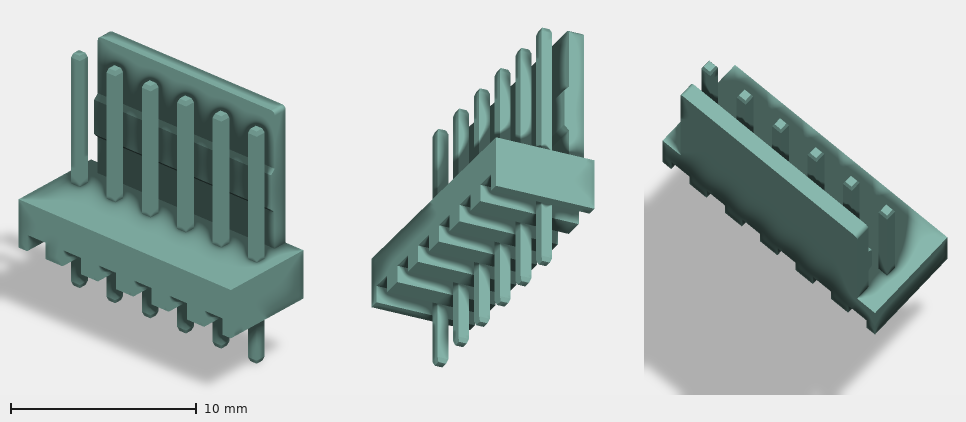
import cadquery as cq


pin_count = 6
base_length = 15.24
base_depth = 5.9
base_height = 2.97
pitch = base_length / pin_count
slot_width = 1.31
slot_depth = 1.0

overall_height = 14.7
wall_length = (pin_count - 1) * pitch
wall_thickness = 0.9
wall_corner_radius = 0.25
rib_projection = 0.29
rib_bottom = 5.2
rib_top = 7.9
rib_bevel = 0.29

pin_width = 0.64
pin_y = 3.5
pin_drop = 3.3
pin_length = 14.3
tip_height = 0.26
tip_inset = 0.09

wall_top = overall_height - pin_drop
pin_positions = [(index - (pin_count - 1) / 2) * pitch for index in range(pin_count)]


def make_base():
    """Block with a slot across its underside below every pin."""
    base = cq.Workplane("XY").box(base_length, base_depth, base_height, centered=(True, False, False))
    slots = (
        cq.Workplane("XY")
        .pushPoints([(x, base_depth / 2) for x in pin_positions])
        .rect(slot_width, base_depth)
        .extrude(slot_depth)
    )
    return base.cut(slots)


def make_wall():
    """Upright wall flush with the back of the base, with a bevelled rib facing the pins."""
    front = base_depth - wall_thickness
    rib_front = front - rib_projection
    profile = [
        (base_depth, base_height),
        (front, base_height),
        (front, rib_bottom),
        (rib_front, rib_bottom + rib_bevel),
        (rib_front, rib_top - rib_bevel),
        (front, rib_top),
        (front, wall_top),
        (base_depth, wall_top),
    ]
    wall = cq.Workplane("YZ").polyline(profile).close().extrude(wall_length / 2, both=True)
    return wall.faces(">Z").edges("|Y").fillet(wall_corner_radius)


def make_pin(x):
    """Square pin with a short tapered tip at each end."""
    pin = (
        cq.Workplane("XY", origin=(x, pin_y, -pin_drop))
        .rect(pin_width, pin_width)
        .extrude(pin_length)
    )
    return pin.faces("<Z or >Z").chamfer(tip_height, tip_inset)


result = make_base().union(make_wall())
for pin_x in pin_positions:
    result = result.union(make_pin(pin_x))